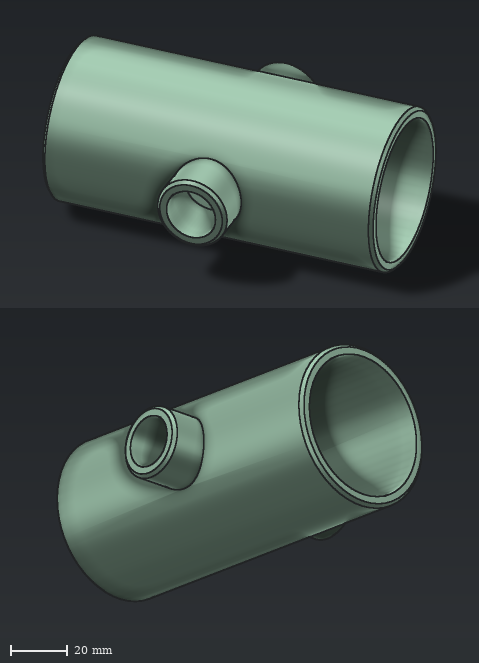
import cadquery as cq

run_length = 127.0
run_outer_diameter = 60.325
run_inner_diameter = 52.5

branch_span = 88.9
branch_outer_diameter = 26.67
branch_inner_diameter = 18.85

end_bevel = 1.3


def centred_cylinder(plane, diameter, length):
    """Solid cylinder centred on the origin, along the normal of the plane."""
    return cq.Workplane(plane).circle(diameter / 2).extrude(length / 2, both=True)


def bevelled_bar(plane, diameter, length):
    """Centred cylinder with both end edges bevelled."""
    bar = centred_cylinder(plane, diameter, length)
    return bar.faces("%PLANE").edges().chamfer(end_bevel)


run_bar = bevelled_bar("YZ", run_outer_diameter, run_length)
branch_bar = bevelled_bar("XZ", branch_outer_diameter, branch_span)

run_bore = centred_cylinder("YZ", run_inner_diameter, run_length)
branch_bore = centred_cylinder("XZ", branch_inner_diameter, branch_span)

result = run_bar.union(branch_bar).cut(run_bore).cut(branch_bore)